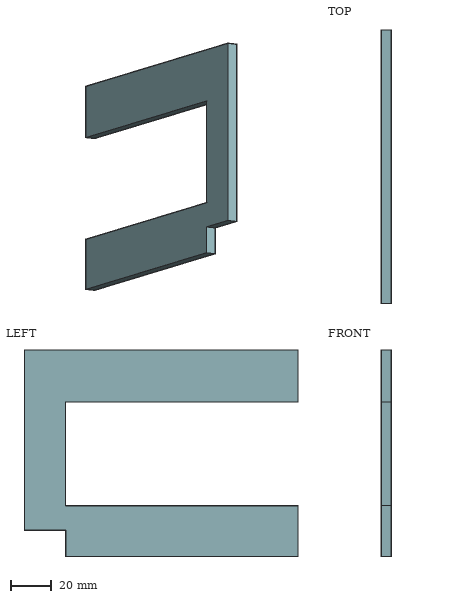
import cadquery as cq

thickness = 5.08
length = 134.62
height = 101.6

lower_arm_width = 25.1
slot_width = 50.8
web_width = 20.32
notch_height = 12.9

y_tip = -length / 2
y_back = length / 2
y_web = y_back - web_width
z_bottom = -height / 2
z_top = height / 2
z_slot_bottom = z_bottom + lower_arm_width
z_slot_top = z_slot_bottom + slot_width
z_notch = z_bottom + notch_height


def fork_plate():
    """Two-armed plate, open toward -Y, with its lower back corner stepped."""
    outline = [
        (y_tip, z_bottom),
        (y_web, z_bottom),
        (y_web, z_notch),
        (y_back, z_notch),
        (y_back, z_top),
        (y_tip, z_top),
        (y_tip, z_slot_top),
        (y_web, z_slot_top),
        (y_web, z_slot_bottom),
        (y_tip, z_slot_bottom),
    ]
    return cq.Workplane("YZ").polyline(outline).close().extrude(thickness / 2, both=True)


result = fork_plate()